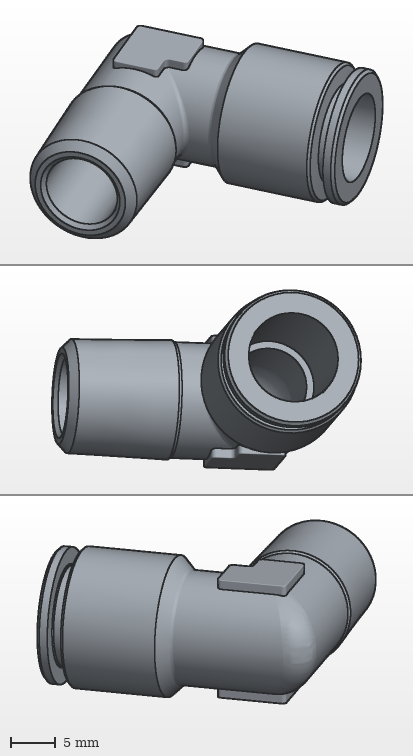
import cadquery as cq


body_radius = 13.0 / 2
outer_corner_radius = 3.0
inner_corner_radius = 0.5
corner_fillet_height = 6.3

thread_start = 9.7
thread_end = 22.0
thread_start_radius = 13.42 / 2
thread_tip_radius = 12.82 / 2
thread_lead_in = 0.35
thread_tip_chamfer = 1.0

collar_radius = 16.0 / 2
collar_start = 11.0
collar_end = 22.0
collar_edge_chamfer = 0.3
collar_end_rise = 0.2
collar_cone_length = collar_radius - body_radius
collar_root_fillet = 0.5

ring_neck_radius = 11.4 / 2
ring_neck_flare = 0.15
flange_radius = 15.5 / 2
flange_start = 23.55
flange_end = 24.83
flange_chamfer = 0.35

bore_radius = 8.5 / 2
bore_mouth_chamfer = 0.5
tube_socket_radius = 10.15 / 2
tube_socket_floor = collar_start - collar_cone_length

pad_top = 7.0
pad_outer_edge = 2.7
pad_notch_edge = 2.7
pad_arm_end = 5.3
pad_corner_radius = 0.5
pad_edge_fillet = 0.1


def revolve_about_x(points):
    """Turn a closed (x, radius) outline around the X axis."""
    return cq.Workplane("XY").polyline(points).close().revolve(360, (0, 0), (1, 0))


def revolve_about_y(points):
    """Turn a closed (radius, y) outline around the Y axis."""
    return cq.Workplane("XY").polyline(points).close().revolve(360, (0, 0), (0, 1))


def make_mitred_arms():
    """Two equal cylinders meeting on a sharp 45 degree mitre."""
    r = body_radius
    tube_arm = cq.Workplane("YZ").workplane(offset=-r).circle(r).extrude(r + collar_start)
    thread_arm = cq.Workplane("XZ").workplane(offset=-r).circle(r).extrude(r + thread_start)
    corner = tube_arm.intersect(thread_arm)
    tube_half = cq.Workplane("YZ").circle(r).extrude(collar_start)
    thread_half = cq.Workplane("XZ").circle(r).extrude(thread_start)
    return corner.union(tube_half).union(thread_half)


def make_elbow():
    """Mitred arms with the outer and inner mitre edges rounded between the pads."""
    arms = make_mitred_arms()
    span = 2 * (collar_start + thread_start)
    middle_slab = cq.Workplane("XY").box(span, span, 2 * corner_fillet_height)
    middle = arms.intersect(middle_slab)
    crowns = arms.cut(middle_slab)

    middle = middle.edges("%ELLIPSE").edges("<X").fillet(outer_corner_radius)
    middle = middle.edges("%ELLIPSE").edges(">X").fillet(inner_corner_radius)
    return middle.union(crowns)


def make_pads():
    """L-shaped pads standing out of the elbow above and below."""
    outline = [
        (-pad_outer_edge, pad_outer_edge),
        (pad_arm_end, pad_outer_edge),
        (pad_arm_end, -pad_notch_edge),
        (pad_notch_edge, -pad_notch_edge),
        (pad_notch_edge, -pad_arm_end),
        (-pad_outer_edge, -pad_arm_end),
    ]
    block = cq.Workplane("XY").polyline(outline).close().extrude(pad_top, both=True)
    block = block.edges("|Z").fillet(pad_corner_radius)
    return block.faces("<Z or >Z").edges().fillet(pad_edge_fillet)


def make_thread():
    """Tapered thread envelope with a lead-in step and a chamfered tip."""
    tip_start = thread_end - thread_tip_chamfer
    return revolve_about_y([
        (0, 0),
        (body_radius, 0),
        (body_radius, -thread_start + thread_lead_in),
        (thread_start_radius, -thread_start),
        (thread_tip_radius, -tip_start),
        (thread_tip_radius - thread_tip_chamfer, -thread_end),
        (0, -thread_end),
    ])


def make_collar():
    """Tube collar with a filleted 45 degree cone at its root and a release ring at its mouth."""
    cone_start = collar_start - collar_cone_length
    collar = revolve_about_x([
        (0, 0),
        (0, body_radius),
        (cone_start, body_radius),
        (collar_start, collar_radius),
        (collar_end - collar_edge_chamfer, collar_radius),
        (collar_end, collar_radius - collar_edge_chamfer),
        (collar_end + collar_end_rise, ring_neck_radius),
        (flange_start - ring_neck_flare, ring_neck_radius),
        (flange_start, ring_neck_radius + ring_neck_flare),
        (flange_start, flange_radius),
        (flange_end - flange_chamfer, flange_radius),
        (flange_end, flange_radius - flange_chamfer),
        (flange_end, 0),
    ])
    root = cq.selectors.NearestToPointSelector((cone_start, 0, 0))
    return collar.edges(root).fillet(collar_root_fillet)


def make_passage():
    """Bore through both arms, joined by a ball at the corner, with a tube socket in the collar."""
    ball = cq.Workplane("XY").sphere(bore_radius)
    tube_bore = cq.Workplane("YZ").circle(bore_radius).extrude(flange_end)
    thread_bore = cq.Workplane("XZ").circle(bore_radius).extrude(thread_end)
    socket = (
        cq.Workplane("YZ").workplane(offset=tube_socket_floor)
        .circle(tube_socket_radius).extrude(flange_end - tube_socket_floor)
    )
    mouth = revolve_about_y([
        (0, -thread_end),
        (bore_radius + bore_mouth_chamfer, -thread_end),
        (bore_radius, -thread_end + bore_mouth_chamfer),
        (0, -thread_end + bore_mouth_chamfer),
    ])
    return ball.union(tube_bore).union(thread_bore).union(socket).union(mouth)


result = (
    make_elbow()
    .union(make_thread())
    .union(make_collar())
    .union(make_pads())
    .cut(make_passage())
)